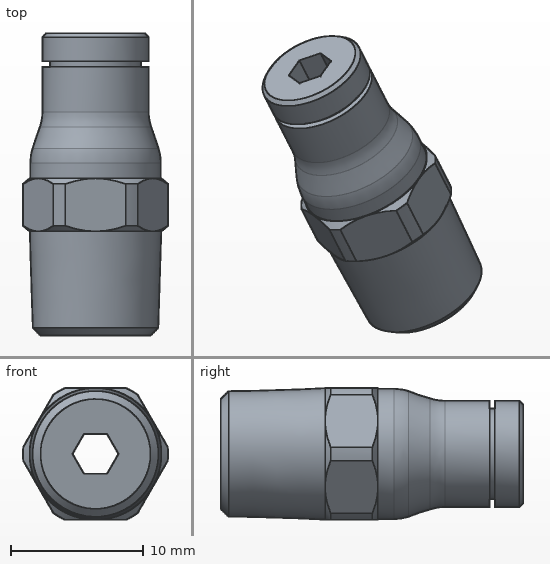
import cadquery as cq
import math


gauge_radius = 9.728 / 2
gauge_plane = 4.0
taper_per_side = 1 / 32
thread_end_chamfer = 0.6

hex_start = 7.9
hex_length = 4.0
shoulder_start = 13.08
groove_start = 20.35
groove_width = 0.4
total_length = 22.9

hex_across_flats = 10.0
hex_corner_radius = 5.5
hex_chamfer_length = 0.42

body_radius = 4.95
neck_radius = 4.03
groove_radius = 3.45
sleeve_end_chamfer = 0.3

shoulder_blend_radius = 3.5
shoulder_angle = math.radians(18.7)

key_across_flats = 3.0


def hexagon(across_flats, start, length):
    """Hexagonal prism along +Y with its corners on the X axis."""
    across_corners = across_flats / math.cos(math.pi / 6)
    return (
        cq.Workplane("XZ", origin=(0, start, 0))
        .polygon(6, across_corners)
        .extrude(-length)
    )


def turned(outline):
    """Revolve a closed (radius, Y) outline about the Y axis."""
    return outline.close().revolve(360, (0, 0, 0), (0, 1, 0))


def thread_radius(y):
    return gauge_radius + taper_per_side * (y - gauge_plane)


def make_thread():
    outline = (
        cq.Workplane("XY")
        .lineTo(thread_radius(thread_end_chamfer) - thread_end_chamfer, 0)
        .lineTo(thread_radius(thread_end_chamfer), thread_end_chamfer)
        .lineTo(thread_radius(hex_start), hex_start)
        .lineTo(0, hex_start)
    )
    return turned(outline)


def make_wrench_hex():
    flat_radius = hex_across_flats / 2
    hex_end = hex_start + hex_length
    envelope = turned(
        cq.Workplane("XY")
        .moveTo(0, hex_start)
        .lineTo(flat_radius, hex_start)
        .lineTo(hex_corner_radius, hex_start + hex_chamfer_length)
        .lineTo(hex_corner_radius, hex_end - hex_chamfer_length)
        .lineTo(flat_radius, hex_end)
        .lineTo(0, hex_end)
    )
    return hexagon(hex_across_flats, hex_start, hex_length).intersect(envelope)


def make_body():
    hex_end = hex_start + hex_length
    blend_length = shoulder_blend_radius * math.sin(shoulder_angle)
    blend_drop = shoulder_blend_radius * (1 - math.cos(shoulder_angle))
    cone_drop = body_radius - neck_radius - 2 * blend_drop
    cone_start = shoulder_start + blend_length
    cone_end = cone_start + cone_drop / math.tan(shoulder_angle)
    neck_start = cone_end + blend_length
    outline = (
        cq.Workplane("XY")
        .moveTo(0, hex_end)
        .lineTo(body_radius, hex_end)
        .lineTo(body_radius, shoulder_start)
        .tangentArcPoint((body_radius - blend_drop, cone_start), relative=False)
        .lineTo(neck_radius + blend_drop, cone_end)
        .tangentArcPoint((neck_radius, neck_start), relative=False)
        .lineTo(neck_radius, groove_start)
        .lineTo(groove_radius, groove_start)
        .lineTo(groove_radius, groove_start + groove_width)
        .lineTo(neck_radius, groove_start + groove_width)
        .lineTo(neck_radius, total_length - sleeve_end_chamfer)
        .lineTo(neck_radius - sleeve_end_chamfer, total_length)
        .lineTo(0, total_length)
    )
    return turned(outline)


key_passage = hexagon(key_across_flats, 0, total_length)
result = make_thread().union(make_wrench_hex()).union(make_body()).cut(key_passage)